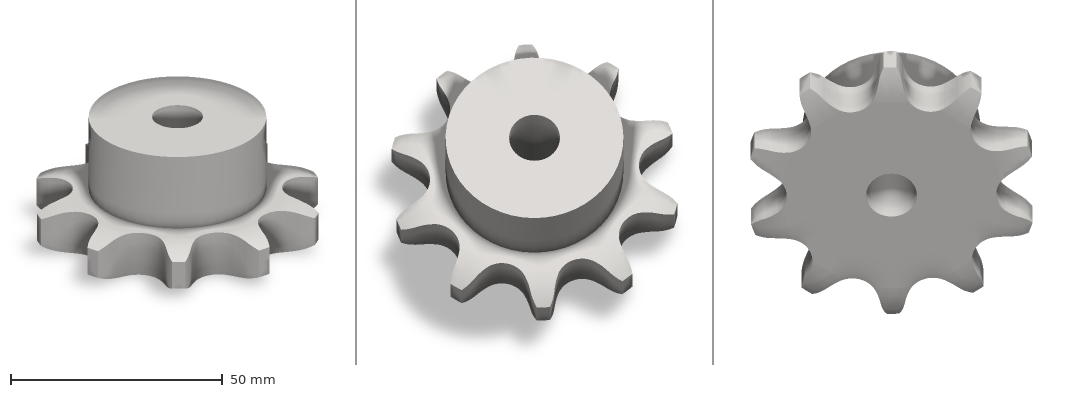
import cadquery as cq
import math

teeth = 10
chain_pitch = 19.05
roller_diameter = 12.1

outer_radius = 34.5
plate_thickness = 11.1
side_relief_depth = 2.0
side_relief_radius = chain_pitch
hub_diameter = 42.0
bore_diameter = 12.0
total_height = 30.0

half_step = math.pi / teeth
pitch_radius = chain_pitch / (2 * math.sin(half_step))

seating_radius = 6.1
working_center_distance = 0.8 * roller_diameter
working_radius = seating_radius + working_center_distance
topping_center_distance = 1.4 * roller_diameter
seating_angle = math.radians(35 + 60 / teeth)
working_angle = math.radians(18 - 56 / teeth)
flat_angle = seating_angle - working_angle


def step_from(start, distance, angle):
    """Point at a distance and direction from a start point."""
    return (start[0] + distance * math.cos(angle), start[1] + distance * math.sin(angle))


def right_flank():
    """Right flank of the tooth gap centred on +Y, from the seating arc to the pointed tooth tip."""
    seating_center = (0, pitch_radius)
    seating_end = step_from(seating_center, seating_radius, -seating_angle)

    working_center = step_from(seating_center, working_center_distance, math.pi - seating_angle)
    working_mid = step_from(working_center, working_radius, -(seating_angle + flat_angle) / 2)
    working_end = step_from(working_center, working_radius, -flat_angle)

    topping_center = step_from(seating_center, topping_center_distance, -half_step)
    across_x = topping_center[0] - working_end[0]
    across_y = topping_center[1] - working_end[1]
    topping_radius = across_x * math.cos(flat_angle) - across_y * math.sin(flat_angle)
    flat_direction = math.pi - flat_angle
    flat_end = step_from(topping_center, topping_radius, flat_direction)
    center_line_offset = topping_center_distance - chain_pitch / 2
    tip_direction = math.pi - half_step - math.acos(center_line_offset / topping_radius)
    topping_mid = step_from(topping_center, topping_radius, (flat_direction + tip_direction) / 2)
    tip = step_from(topping_center, topping_radius, tip_direction)
    return [seating_end, working_mid, working_end, flat_end, topping_mid, tip]


def rotate(points, angle):
    """Points turned about the sprocket axis."""
    cosine = math.cos(angle)
    sine = math.sin(angle)
    return [(x * cosine - y * sine, x * sine + y * cosine) for x, y in points]


def add_gap(outline, gap_points):
    """Continue the outline from the right tooth tip, through one gap, to the left tooth tip."""
    (
        topping_right, flat_top_right, flat_foot_right, working_right, seat_right,
        root,
        seat_left, working_left, flat_foot_left, flat_top_left, topping_left, tip_left,
    ) = gap_points
    return (
        outline.threePointArc(topping_right, flat_top_right)
        .lineTo(*flat_foot_right)
        .threePointArc(working_right, seat_right)
        .threePointArc(root, seat_left)
        .threePointArc(working_left, flat_foot_left)
        .lineTo(*flat_top_left)
        .threePointArc(topping_left, tip_left)
    )


def toothed_prism():
    """Straight prism with full, pointed teeth; one tooth lies on +X."""
    right = right_flank()
    left = [(-x, y) for x, y in right]
    root = (0, pitch_radius - seating_radius)
    gap_outline = right[::-1] + [root] + left

    first_turn = half_step - math.pi / 2
    start_tip = rotate(gap_outline, first_turn)[0]
    outline = cq.Workplane("XY").moveTo(*start_tip)
    for gap in range(teeth):
        turned = rotate(gap_outline, first_turn + 2 * half_step * gap)
        outline = add_gap(outline, turned[1:])
    return outline.close().extrude(plate_thickness)


def plate_blank():
    """Turned disc whose faces curve towards each other near the rim."""
    relief_angle = math.acos(1 - side_relief_depth / side_relief_radius)
    flat_radius = outer_radius - side_relief_radius * math.sin(relief_angle)
    mid_radius = flat_radius + side_relief_radius * math.sin(relief_angle / 2)
    mid_depth = side_relief_radius * (1 - math.cos(relief_angle / 2))
    return (
        cq.Workplane("XZ")
        .lineTo(flat_radius, 0)
        .threePointArc((mid_radius, mid_depth), (outer_radius, side_relief_depth))
        .lineTo(outer_radius, plate_thickness - side_relief_depth)
        .threePointArc((mid_radius, plate_thickness - mid_depth), (flat_radius, plate_thickness))
        .lineTo(0, plate_thickness)
        .close()
        .revolve(360, (0, 0), (0, 1))
    )


hub = cq.Workplane("XY").circle(hub_diameter / 2).extrude(total_height)
bore = cq.Workplane("XY").circle(bore_diameter / 2).extrude(total_height)

result = plate_blank().intersect(toothed_prism()).union(hub).cut(bore)